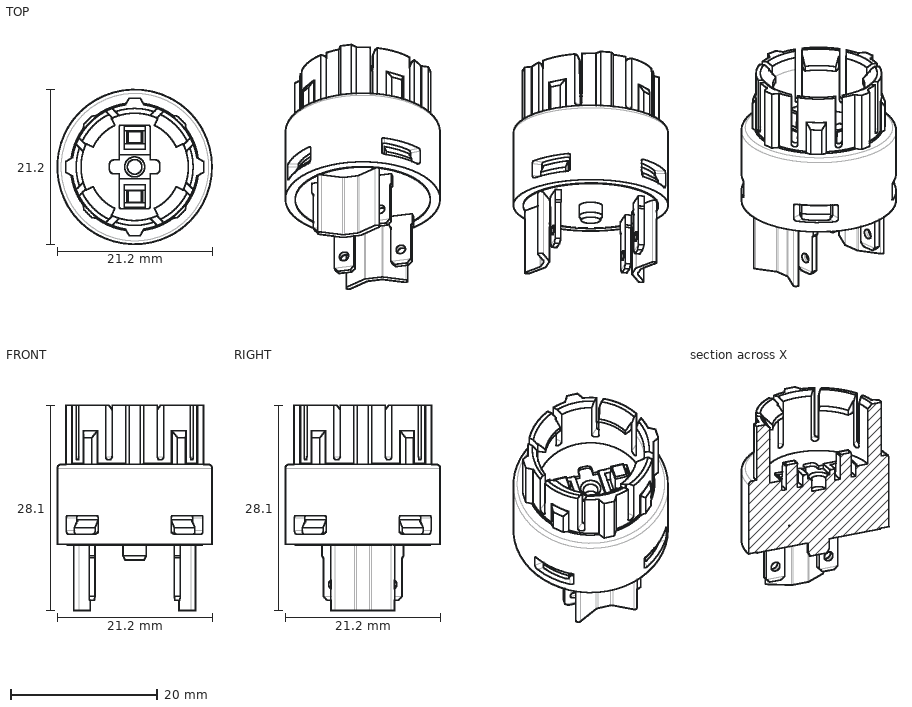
import cadquery as cq
import math

top_z = 19.05
collar_top_z = 10.95
floor_z = 10.15
body_bottom_z = -0.1
pin_bottom_z = -2.15
shield_bottom_z = -9.05
tab_bottom_z = -7.65
cut_margin = 1.0

collar_radius = 10.6
collar_fillet = 0.5
body_radius = 9.25
ring_radius = 8.6
ring_bore_radius = 7.35
root_chamfer = 0.17
bore_lead_in = 0.65
mouth_radius = ring_bore_radius + bore_lead_in

slot_width = 0.9
slot_offset = 3.03
slot_bottom_z = 11.57

hook_radius = 6.3
hook_face_height = 0.7
hook_half_angle = 19.5
hook_face_top_z = top_z - (mouth_radius - hook_radius)
hook_bottom_z = hook_face_top_z - hook_face_height

long_rib_reach = 9.42
long_rib_tip = 0.74
long_rib_root = 1.22
short_rib_reach = 9.05
short_rib_tip = 0.77
short_rib_root = 1.37
short_rib_top_z = 15.53
short_rib_slope_height = 0.92

window_half_width = 3.07
window_flare_angle = 35.0
window_back_half_width = 1.6
window_front_half_width = 4.0
window_bottom_z = 1.42
window_top_z = 3.95
window_bottom_fillet = 0.5
window_top_fillet = 0.3
latch_radius = 9.87
latch_half_width = 2.0
latch_corner_fillet = 0.35
latch_face_top_z = 2.3
latch_slope_top_z = 3.4

pin_radius = 1.6
pin_chamfer_height = 0.6
pin_chamfer_width = 0.3
hole_diameter = 2.0
hole_mouth_diameter = 2.74
hole_depth = 2.0

block_half_width = 2.1
block_inner_y = 1.65
block_outer_y = 5.7
block_height = 0.2
block_fillet = 0.2
key_half_length = 3.45
key_half_width = 0.95
key_fillet = 0.6
key_depth = 0.5
pocket_width = 2.9
pocket_length = 3.1
pocket_y = 3.98
pocket_depth = 1.5

post_y = 4.05
post_top_z = 12.35
post_half_length = 0.88
post_top_half_width = 0.88
post_shoulder_half_width = 1.1
post_bevel_height = 0.2
post_bevel_length = 0.1

tab_x = 5.83
tab_y = 4.0
tab_thickness = 0.83
tab_width = 2.8
tab_bevel_width = 0.53
tab_bevel_height = 0.55
tab_edge_bevel = 0.08
tab_shoulder = 0.2
tab_shoulder_bottom_z = -1.57
tab_shoulder_taper_z = -1.85
tab_hole_diameter = 1.3
tab_hole_z = -5.46

shield_thickness = 0.74
shield_mid_x = 6.42
shield_bend_y = 1.15
shield_end_x = 7.97
shield_end_y = 3.98
shield_bend_radius = 0.62

AXIS_ANGLES = (0, 90, 180, 270)
DIAGONAL_ANGLES = (45, 135, 225, 315)
Z_AXIS = ((0, 0, 0), (0, 0, 1))


def around(shape, angles):
    """Union of copies of a shape turned about Z."""
    copies = shape.rotate(*Z_AXIS, angles[0])
    for angle in angles[1:]:
        copies = copies.union(shape.rotate(*Z_AXIS, angle))
    return copies


def cylinder(radius, bottom_z, height_to):
    return cq.Workplane("XY", origin=(0, 0, bottom_z)).circle(radius).extrude(height_to - bottom_z)


def box_between(x0, x1, y0, y1, z0, z1):
    return cq.Workplane("XY", origin=(x0, y0, z0)).box(x1 - x0, y1 - y0, z1 - z0, centered=False)


def revolved(points):
    """Full turn about Z of an (r, z) outline."""
    return cq.Workplane("XZ").polyline(points).close().revolve(360, (0, 0, 0), (0, 1, 0))


def make_body():
    collar = cylinder(collar_radius, 0, collar_top_z).faces(">Z").edges().fillet(collar_fillet)
    ring = cylinder(ring_radius, 0, top_z)
    root = revolved([
        (0, collar_top_z),
        (ring_radius + root_chamfer, collar_top_z),
        (ring_radius, collar_top_z + root_chamfer),
        (0, collar_top_z + root_chamfer),
    ])
    return collar.union(cylinder(body_radius, body_bottom_z, collar_top_z)).union(ring).union(root)


def make_bore():
    """Bore with a hook-shaped lip all round below its mouth; the lip has a 45 degree upper face."""
    return revolved([
        (0, floor_z),
        (ring_bore_radius, floor_z),
        (ring_bore_radius, hook_bottom_z),
        (hook_radius, hook_bottom_z),
        (hook_radius, hook_face_top_z),
        (mouth_radius, top_z),
        (mouth_radius, top_z + cut_margin),
        (0, top_z + cut_margin),
    ])


def make_lip_gap():
    """Sector starting at +X that clears the lip between two neighbouring hooks."""
    return (
        cq.Workplane("XZ")
        .polyline([
            (hook_radius - cut_margin, hook_bottom_z - cut_margin),
            (ring_bore_radius, hook_bottom_z - cut_margin),
            (ring_bore_radius, top_z - bore_lead_in),
            (hook_radius - cut_margin, top_z - bore_lead_in),
        ])
        .close()
        .revolve(90 - 2 * hook_half_angle, (0, 0, 0), (0, 1, 0))
    )


def make_slots():
    """The pair of round-bottomed slots that flank the +X direction."""
    start = ring_bore_radius / 2 + slot_offset / 2
    slot_length = ring_radius + cut_margin - start
    arc_z = slot_bottom_z + slot_width / 2
    slots = cq.Workplane("XY")
    for side in (-1, 1):
        y = side * slot_offset
        upright = box_between(
            start, start + slot_length, y - slot_width / 2, y + slot_width / 2, arc_z, top_z + cut_margin
        )
        bottom = (
            cq.Workplane("YZ", origin=(start, 0, 0))
            .center(y, arc_z)
            .circle(slot_width / 2)
            .extrude(slot_length)
        )
        slots = slots.union(upright).union(bottom)
    return slots


def rib_prism(reach, tip, root, rib_top_z):
    """Tapered rib along +X, rooted inside the ring wall."""
    inner = (ring_bore_radius + ring_radius) / 2 + root_chamfer
    return (
        cq.Workplane("XY", origin=(0, 0, collar_top_z))
        .polyline([
            (inner, -root),
            (ring_radius, -root),
            (reach, -tip),
            (reach, tip),
            (ring_radius, root),
            (inner, root),
        ])
        .close()
        .extrude(rib_top_z - collar_top_z)
    )


def make_short_rib():
    rib = rib_prism(short_rib_reach, short_rib_tip, short_rib_root, short_rib_top_z)
    slope = (
        cq.Workplane("XZ")
        .polyline([
            (ring_radius, short_rib_top_z),
            (short_rib_reach, short_rib_top_z - short_rib_slope_height),
            (short_rib_reach, short_rib_top_z),
        ])
        .close()
        .extrude(short_rib_root, both=True)
    )
    return rib.cut(slope)


def window_depth_x(half_width):
    """Distance from the axis at which the flared window has the given half width."""
    rim_x = math.sqrt(collar_radius**2 - window_half_width**2)
    return rim_x + (half_width - window_half_width) / math.tan(math.radians(window_flare_angle))


def make_window():
    """Opening through the collar wall on the +X side, narrowing inward to the inner body."""
    window = (
        cq.Workplane("XY", origin=(0, 0, window_bottom_z))
        .polyline([
            (window_depth_x(window_back_half_width), -window_back_half_width),
            (window_depth_x(window_front_half_width), -window_front_half_width),
            (window_depth_x(window_front_half_width), window_front_half_width),
            (window_depth_x(window_back_half_width), window_back_half_width),
        ])
        .close()
        .extrude(window_top_z - window_bottom_z)
    )
    window = window.faces("<Z").edges("not |Y").fillet(window_bottom_fillet)
    window = window.faces(">Z").edges("not |Y").fillet(window_top_fillet)
    return window.cut(cylinder(body_radius, 0, collar_top_z))


def make_latch():
    """Wedge on the inner body, on the +X side."""
    cone = revolved([
        (0, window_bottom_z),
        (latch_radius, window_bottom_z),
        (latch_radius, latch_face_top_z),
        (body_radius, latch_slope_top_z),
        (0, latch_slope_top_z),
    ])
    strip = box_between(
        0, collar_radius, -latch_half_width, latch_half_width, window_bottom_z, latch_slope_top_z
    ).edges("|X and <Z").fillet(latch_corner_fillet)
    return cone.intersect(strip)


def make_pin():
    return revolved([
        (0, 0),
        (pin_radius, 0),
        (pin_radius, pin_bottom_z + pin_chamfer_height),
        (pin_radius - pin_chamfer_width, pin_bottom_z),
        (0, pin_bottom_z),
    ])


def make_centre_hole():
    key_floor_z = floor_z - key_depth
    countersink = (hole_mouth_diameter - hole_diameter) / 2
    return revolved([
        (0, key_floor_z - hole_depth),
        (hole_diameter / 2, key_floor_z - hole_depth),
        (hole_diameter / 2, key_floor_z - countersink),
        (hole_mouth_diameter / 2, key_floor_z),
        (0, key_floor_z),
    ])


def make_key_recess():
    key_floor_z = floor_z - key_depth
    arms = box_between(
        -key_half_length, key_half_length, -key_half_width, key_half_width, key_floor_z, floor_z
    ).edges("|Z").fillet(key_fillet)
    middle = box_between(
        -block_half_width, block_half_width, -block_inner_y, block_inner_y, key_floor_z, floor_z
    )
    return arms.union(middle)


def make_block():
    """Low block on the +Y side of the floor."""
    block = box_between(
        -block_half_width, block_half_width, block_inner_y, block_outer_y, floor_z, floor_z + block_height
    )
    return block.edges("|Z and >Y").fillet(block_fillet)


def make_pocket():
    return cq.Workplane("XY", origin=(0, pocket_y, floor_z - pocket_depth)).box(
        pocket_width, pocket_length, pocket_depth + cut_margin, centered=(True, True, False)
    )


def make_post():
    """Contact post whose sides flare out to the pocket walls."""
    foot_z = floor_z - pocket_depth
    shoulder_z = post_top_z - post_bevel_height
    half_bevel_top = post_half_length - post_bevel_length
    across = (
        cq.Workplane("XZ", origin=(0, post_y, 0))
        .polyline([
            (-pocket_width / 2, foot_z),
            (pocket_width / 2, foot_z),
            (post_shoulder_half_width, shoulder_z),
            (post_top_half_width, post_top_z),
            (-post_top_half_width, post_top_z),
            (-post_shoulder_half_width, shoulder_z),
        ])
        .close()
        .extrude(post_half_length, both=True)
    )
    along = (
        cq.Workplane("YZ", origin=(0, post_y, 0))
        .polyline([
            (-post_half_length, foot_z),
            (post_half_length, foot_z),
            (post_half_length, shoulder_z),
            (half_bevel_top, post_top_z),
            (-half_bevel_top, post_top_z),
            (-post_half_length, shoulder_z),
        ])
        .close()
        .extrude(pocket_width, both=True)
    )
    return across.intersect(along)


def make_tab(x, y):
    """Flat blade with a shouldered root, a bevelled end and a cross hole."""
    half = tab_width / 2
    root_half = half + tab_shoulder
    bevel_z = tab_bottom_z + tab_bevel_height
    half_thickness = tab_thickness / 2
    outline = (
        cq.Workplane("YZ", origin=(x, y, 0))
        .polyline([
            (-root_half, 0),
            (-root_half, tab_shoulder_bottom_z),
            (-half, tab_shoulder_taper_z),
            (-half, bevel_z),
            (-half + tab_bevel_width, tab_bottom_z),
            (half - tab_bevel_width, tab_bottom_z),
            (half, bevel_z),
            (half, tab_shoulder_taper_z),
            (root_half, tab_shoulder_bottom_z),
            (root_half, 0),
        ])
        .close()
        .extrude(half_thickness, both=True)
    )
    edge_profile = (
        cq.Workplane("XZ", origin=(x, y, 0))
        .polyline([
            (-half_thickness, 0),
            (-half_thickness, bevel_z),
            (-half_thickness + tab_edge_bevel, tab_bottom_z),
            (half_thickness - tab_edge_bevel, tab_bottom_z),
            (half_thickness, bevel_z),
            (half_thickness, 0),
        ])
        .close()
        .extrude(root_half, both=True)
    )
    hole = (
        cq.Workplane("YZ", origin=(x, y, tab_hole_z))
        .circle(tab_hole_diameter / 2)
        .extrude(tab_thickness, both=True)
    )
    return outline.intersect(edge_profile).cut(hole)


def make_shield():
    """Plate on the +X side, bent twice so that both round-ended wings lean outward."""
    half = shield_thickness / 2
    height = -shield_bottom_z
    base = cq.Workplane("XY", origin=(0, 0, shield_bottom_z))
    wing_x = shield_end_x - shield_mid_x
    wing_y = shield_end_y - shield_bend_y
    wing_length = math.hypot(wing_x, wing_y)
    wing_angle = math.degrees(math.atan2(wing_y, wing_x))
    shield = (
        base.center(shield_mid_x, 0)
        .slot2D(2 * shield_bend_y + shield_thickness, shield_thickness, 90)
        .extrude(height)
    )
    for side in (-1, 1):
        wing = (
            base.center((shield_mid_x + shield_end_x) / 2, side * (shield_bend_y + shield_end_y) / 2)
            .slot2D(wing_length + shield_thickness, shield_thickness, side * wing_angle)
            .extrude(height)
        )
        shield = shield.union(wing)
    inside_bends = cq.selectors.BoxSelector(
        (shield_mid_x + half / 2, -shield_bend_y - half, shield_bottom_z),
        (shield_mid_x + half * 1.5, shield_bend_y + half, 0),
    )
    return shield.edges("|Z").edges(inside_bends).fillet(shield_bend_radius)


part = make_body()
part = part.cut(make_bore())
part = part.cut(around(make_slots(), DIAGONAL_ANGLES))
for angle in DIAGONAL_ANGLES:
    part = part.cut(make_lip_gap().rotate(*Z_AXIS, angle + hook_half_angle))
part = part.union(around(rib_prism(long_rib_reach, long_rib_tip, long_rib_root, top_z), AXIS_ANGLES))
part = part.union(around(make_short_rib(), DIAGONAL_ANGLES))

part = part.cut(around(make_window(), DIAGONAL_ANGLES))
part = part.union(around(make_latch(), DIAGONAL_ANGLES))

part = part.cut(make_key_recess()).cut(make_centre_hole())
part = part.union(around(make_block(), (0, 180)))
part = part.cut(around(make_pocket(), (0, 180)))
part = part.union(around(make_post(), (0, 180)))

part = part.union(make_pin())
part = part.union(around(make_shield(), (0, 180)))
for tab_side_x in (-1, 1):
    for tab_side_y in (-1, 1):
        part = part.union(make_tab(tab_side_x * tab_x, tab_side_y * tab_y))

result = part